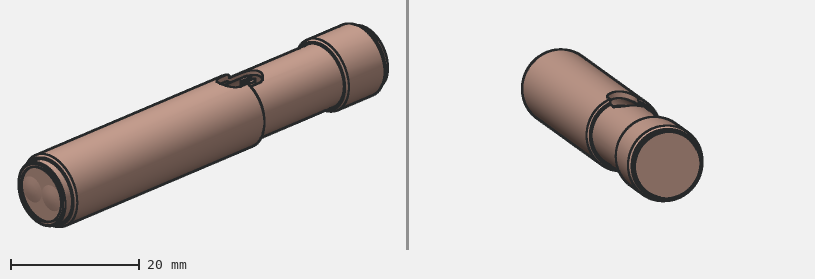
import cadquery as cq

length = 70.0
front_y = -length / 2
back_y = length / 2
body_radius = 12.0 / 2
waist_radius = 10.6 / 2
end_radius = 10.5 / 2

body_front_y = -33.3
body_back_y = 8.0
cap_front_y = 25.4
cap_back_y = 34.15
edge_chamfer = 0.4
cap_back_chamfer_length = 0.6

rim_radius = 10.0 / 2
rim_chamfer = end_radius - rim_radius
window_radius = 9.0 / 2
window_depth = 0.3
lens_radius = 2.135
lens_offset = 2.2
lens_height = 0.245

body_bore_radius = 9.9 / 2
waist_bore_radius = 9.0 / 2

opening_radius = 2.25
opening_back_y = 9.95
opening_front_y = 6.1

screw_y = 9.8
screw_radius = 2.4 / 2
screw_top_z = 4.6
screw_slot_width = 0.7
screw_slot_depth = 0.35
indicator_y = 5.6
indicator_base_radius = 1.55
indicator_top_radius = 2.4 / 2
indicator_top_z = 3.85
indicator_taper_height = 0.5
fixture_base_z = -5.1


def revolve_about_y(points):
    """Revolve an outline of (radius, y) points about the barrel axis."""
    return cq.Workplane("XY").polyline(points).close().revolve(360, (0, 0, 0), (0, 1, 0))


def vertical_disc(y, radius, base_z, height):
    return cq.Workplane("XY", origin=(0, y, base_z)).circle(radius).extrude(height)


def make_barrel():
    chamfered_radius = body_radius - edge_chamfer
    return revolve_about_y([
        (0, front_y),
        (rim_radius, front_y),
        (end_radius, front_y + rim_chamfer),
        (end_radius, body_front_y),
        (chamfered_radius, body_front_y),
        (body_radius, body_front_y + edge_chamfer),
        (body_radius, body_back_y - edge_chamfer),
        (chamfered_radius, body_back_y),
        (waist_radius, body_back_y),
        (waist_radius, cap_front_y),
        (chamfered_radius, cap_front_y),
        (body_radius, cap_front_y + edge_chamfer),
        (body_radius, cap_back_y - cap_back_chamfer_length),
        (chamfered_radius, cap_back_y),
        (end_radius, cap_back_y),
        (end_radius, back_y),
        (0, back_y),
    ])


def make_window_recess():
    front_plane = cq.Workplane("XZ", origin=(0, front_y, 0))
    return front_plane.circle(window_radius).extrude(-window_depth)


def make_lens(x):
    """Shallow dome standing on the window, with a root sunk into the end wall."""
    base_y = front_y + window_depth
    sphere_radius = (lens_radius**2 + lens_height**2) / (2 * lens_height)
    root_y = base_y + lens_height
    outline = (
        cq.Workplane("XY")
        .moveTo(0, root_y)
        .lineTo(lens_radius, root_y)
        .lineTo(lens_radius, base_y)
        .radiusArc((0, base_y - lens_height), sphere_radius)
        .close()
    )
    return outline.revolve(360, (0, 0, 0), (0, 1, 0)).translate((x, 0, 0))


def make_bore():
    """Stepped internal cavity, closed at both ends."""
    return revolve_about_y([
        (0, body_front_y),
        (body_bore_radius, body_front_y),
        (body_bore_radius, body_back_y - edge_chamfer),
        (waist_bore_radius, body_back_y),
        (waist_bore_radius, cap_front_y),
        (0, cap_front_y),
    ])


def make_opening():
    """Rounded slot through the top wall into the bore."""
    slot_length = opening_back_y - opening_front_y + 2 * opening_radius
    slot_y = (opening_back_y + opening_front_y) / 2
    slot = cq.Workplane("XY", origin=(0, slot_y, 0)).slot2D(slot_length, 2 * opening_radius, 90)
    return slot.extrude(body_radius)


def make_screw():
    screw = vertical_disc(screw_y, screw_radius, fixture_base_z, screw_top_z - fixture_base_z)
    slot = (
        cq.Workplane("XY", origin=(0, screw_y, screw_top_z))
        .rect(screw_slot_width, 2 * screw_radius)
        .extrude(-screw_slot_depth)
    )
    return screw.cut(slot)


def make_indicator():
    height = indicator_top_z - fixture_base_z
    post = vertical_disc(indicator_y, indicator_base_radius, fixture_base_z, height)
    taper_width = indicator_base_radius - indicator_top_radius
    return post.faces(">Z").chamfer(indicator_taper_height, taper_width)


result = make_barrel().cut(make_window_recess())
for side in (-1, 1):
    result = result.union(make_lens(side * lens_offset))
result = result.cut(make_bore()).cut(make_opening())
result = result.union(make_screw()).union(make_indicator())